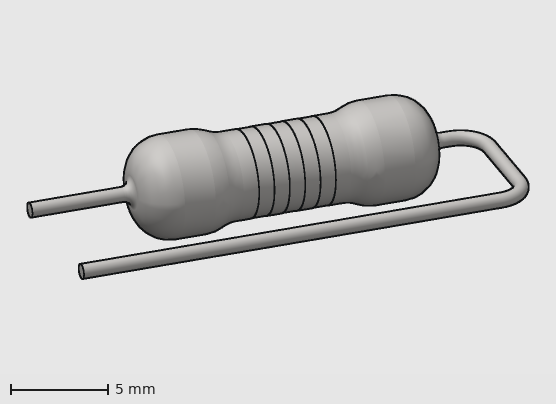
import cadquery as cq
import math

lead_diameter = 0.8
lead_pitch = 7.5
overall_length = 25.1
lead_bend_radius = 1.6
front_lead_length = 5.05

cap_diameter = 5.5
body_length = 16.5
band_diameter = 4.7
gap_diameter = 4.67
band_count = 4
band_width = 0.845
root_fillet_radius = 0.55

lead_radius = lead_diameter / 2
cap_radius = cap_diameter / 2
band_radius = band_diameter / 2
gap_radius = gap_diameter / 2

cap_straight_length = 2 * band_width
shoulder_length = 2 * band_width
waist_length = (2 * band_count - 1) * band_width

straight_half_length = waist_length / 2 + shoulder_length + cap_straight_length
dome_height = body_length / 2 - straight_half_length
root_radius = lead_radius + root_fillet_radius

body_centre = front_lead_length + root_fillet_radius + body_length / 2
waist_start = body_centre - waist_length / 2


def quarter_arc_inset(radius):
    """Distance of a quarter arc's midpoint from each of its two end tangents."""
    return radius * (1 - math.cos(math.pi / 4))


def make_half_body():
    """Revolved body half, from the middle of the waist out to the lead."""
    shoulder_base = waist_length / 2
    cap_base = shoulder_base + shoulder_length
    cap_top = cap_base + cap_straight_length
    body_end = cap_top + dome_height
    root_end = body_end + root_fillet_radius
    root_inset = quarter_arc_inset(root_fillet_radius)
    root_middle = (lead_radius + root_inset, body_end + root_inset)
    shoulder_middle = ((cap_radius + band_radius) / 2, shoulder_base + shoulder_length / 2)

    profile = (
        cq.Workplane("XY")
        .lineTo(band_radius, 0)
        .lineTo(band_radius, shoulder_base)
        .tangentArcPoint(shoulder_middle, relative=False)
        .tangentArcPoint((cap_radius, cap_base), relative=False)
        .lineTo(cap_radius, cap_top)
        .tangentArcPoint((root_radius, body_end), relative=False)
        .threePointArc(root_middle, (lead_radius, root_end))
        .lineTo(0, root_end)
        .close()
    )
    return profile.revolve(360, (0, 0), (0, 1))


def make_body():
    half = make_half_body()
    body = half.union(half.mirror("XZ")).translate((0, body_centre, 0))
    for index in range(band_count - 1):
        gap_start = waist_start + (2 * index + 1) * band_width
        groove = (
            cq.Workplane("XZ", origin=(0, gap_start, 0))
            .circle(cap_radius)
            .circle(gap_radius)
            .extrude(-band_width)
        )
        body = body.cut(groove)
    return body


def make_front_lead():
    """Straight lead, ending inside the body."""
    return cq.Workplane("XZ").circle(lead_radius).extrude(-body_centre)


def make_bent_lead():
    """Lead leaving the far end of the body, folded back parallel to it."""
    run = overall_length - lead_radius
    bend_start = run - lead_bend_radius
    mid_bend = quarter_arc_inset(lead_bend_radius)
    path = (
        cq.Workplane("XY")
        .moveTo(lead_pitch, 0)
        .lineTo(lead_pitch, bend_start)
        .threePointArc((lead_pitch - mid_bend, run - mid_bend), (lead_pitch - lead_bend_radius, run))
        .lineTo(lead_bend_radius, run)
        .threePointArc((mid_bend, run - mid_bend), (0, bend_start))
        .lineTo(0, body_centre)
    )
    return cq.Workplane("XZ", origin=(lead_pitch, 0, 0)).circle(lead_radius).sweep(path)


result = make_body().union(make_front_lead()).union(make_bent_lead())